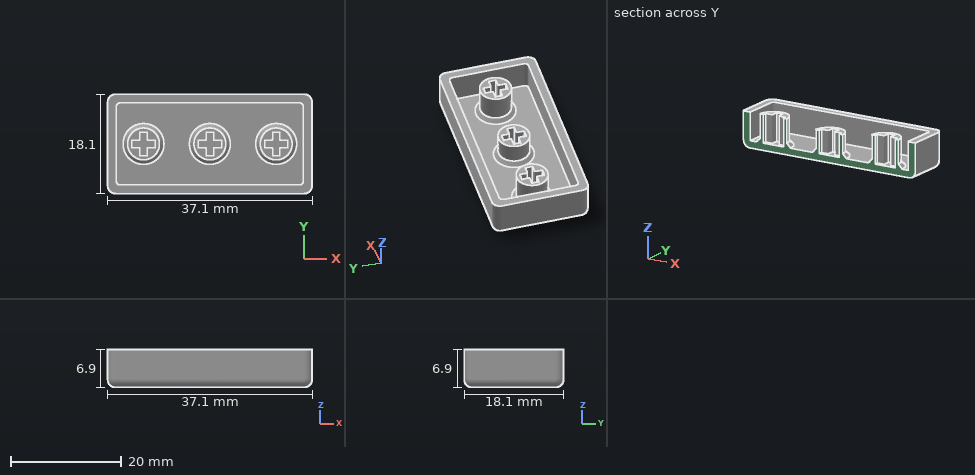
import cadquery as cq

length = 37.1
width = 18.05
height = 6.9
corner_radius = 1.5
bottom_radius = 1.45

wall = 1.6
floor_thickness = 1.5
cavity_corner_radius = 0.7

stem_count = 3
stem_spacing = 12.02
stem_diameter = 5.8
middle_stem_recess = 1.0
full_stem_height = height - floor_thickness
collar_flare = 0.8

cross_length = 4.23
cross_arm_width = 1.35
cross_inner_radius = 0.2


def make_shell():
    body = cq.Workplane("XY").box(length, width, height, centered=(True, True, False))
    body = body.edges("|Z").fillet(corner_radius)
    body = body.faces("<Z").edges().fillet(bottom_radius)
    cavity = (
        cq.Workplane("XY", origin=(0, 0, floor_thickness))
        .rect(length - 2 * wall, width - 2 * wall)
        .extrude(height - floor_thickness)
        .edges("|Z")
        .fillet(cavity_corner_radius)
    )
    return body.cut(cavity)


def make_stem(x, stem_height):
    base = cq.Workplane("XY", origin=(x, 0, floor_thickness))
    radius = stem_diameter / 2
    post = base.circle(radius).extrude(stem_height)
    collar = cq.Solid.makeCone(
        radius + collar_flare, radius, collar_flare, cq.Vector(x, 0, floor_thickness)
    )
    cross = (
        base.rect(cross_length, cross_arm_width)
        .extrude(stem_height)
        .union(base.rect(cross_arm_width, cross_length).extrude(stem_height))
    )
    inner_reach = cross_arm_width / 2 + cross_inner_radius
    inner_corners = cq.selectors.BoxSelector(
        (x - inner_reach, -inner_reach, floor_thickness),
        (x + inner_reach, inner_reach, height),
    )
    cross = cross.edges("|Z").edges(inner_corners).fillet(cross_inner_radius)
    return post.union(cq.Workplane(collar)).cut(cross)


result = make_shell()
for index in range(stem_count):
    offset_index = index - (stem_count - 1) / 2
    recess = middle_stem_recess if offset_index == 0 else 0
    result = result.union(make_stem(offset_index * stem_spacing, full_stem_height - recess))